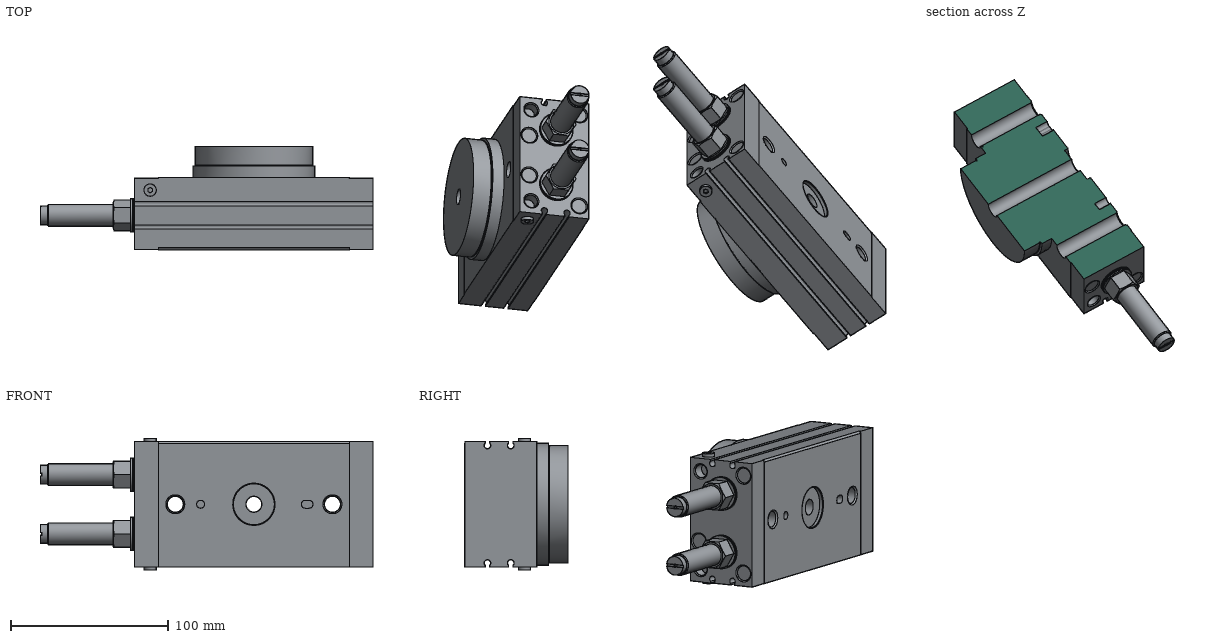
import cadquery as cq
import math


overall_length = 212.0
housing_length = 152.0
housing_height = 80.0
plate_length = 15.3
plate_depth = 45.5
block_proud_front = 0.2
block_proud_back = 0.5
block_chamfer_y = 1.5
block_chamfer_z = 1.3
block_length = housing_length - 2 * plate_length
block_depth = plate_depth + block_proud_front + block_proud_back
block_front = -block_proud_front
block_back = block_front + block_depth
center_x = housing_length / 2
half_height = housing_height / 2

groove_positions_y = (14.5, 29.3)
groove_diameter = 4.0
groove_mouth = 2.8
groove_center_depth = 2.5

overall_depth = 66.0
flange_diameter = 77.8
flange_thickness = 7.5
gap_diameter = 74.2
gap_width = 0.6
table_diameter = 75.0
table_thickness = overall_depth - block_depth - flange_thickness - gap_width

bore_diameter = 10.0
recess_diameter = 26.0
recess_mouth_diameter = 27.0
recess_depth = 2.5
bolt_offset = 50.0
bolt_diameter = 10.2
bolt_mouth_diameter = 12.0
dowel_offset = 34.0
dowel_diameter = 5.0
dowel_slot_length = 7.5
dowel_depth = 8.5

hole_offset_z = 31.5
port_y = 38.0
port_diameter = 8.5
port_mouth_diameter = 10.0
port_depth = 8.5
plug_diameter = 9.5
plug_mouth_diameter = 11.0
inner_plug_y = 39.2
inner_plug_z = 13.8
outer_plug_y = 6.4

absorber_y = 21.8
absorber_z = 18.9
absorber_length = overall_length - housing_length
washer_diameter = 21.5
outer_washer_thickness = 1.3
inner_washer_thickness = 0.6
washer_gap_diameter = 20.4
washer_gap = 0.6
nut_width = 17.2
nut_face_diameter = 16.3
nut_bevel_angle = 20.0
nut_length = 11.0
barrel_diameter = 14.0
barrel_chamfer = 0.6
tip_diameter = 12.0
tip_length = 4.7
tip_slot_width = 1.5
tip_slot_depth = 0.8
tip_hole_diameter = 2.0
tip_hole_depth = 1.7

overall_height = 84.0
screw_x = 10.0
screw_y = 38.0
screw_diameter = 7.8
screw_height = (overall_height - housing_height) / 2
socket_corner_diameter = 3.4
socket_depth = 1.3


def y_rod(x, z, start, length, diameter):
    """Cylinder along +Y that starts at Y = start."""
    return cq.Workplane("XZ", origin=(x, start, z)).circle(diameter / 2).extrude(-length)


def x_rod(start, y, z, length, diameter):
    """Cylinder along +X that starts at X = start."""
    return cq.Workplane("YZ", origin=(start, y, z)).circle(diameter / 2).extrude(length)


def cone(point, direction, mouth_diameter, end_diameter):
    """45-degree countersink that narrows from its mouth at point."""
    depth = (mouth_diameter - end_diameter) / 2
    return cq.Workplane(cq.Solid.makeCone(
        mouth_diameter / 2, end_diameter / 2, depth, cq.Vector(*point), cq.Vector(*direction)))


def make_housing():
    plates = cq.Workplane("XY").box(housing_length, plate_depth, housing_height)
    plates = plates.translate((center_x, plate_depth / 2, 0))
    block = (
        cq.Workplane("YZ", origin=(plate_length, 0, 0))
        .moveTo(block_front, -half_height)
        .lineTo(block_back, -half_height)
        .lineTo(block_back, half_height)
        .lineTo(block_front + block_chamfer_y, half_height)
        .lineTo(block_front, half_height - block_chamfer_z)
        .close()
        .extrude(block_length)
    )
    between_plates = cq.Workplane("XY").box(block_length, block_depth, housing_height)
    between_plates = between_plates.translate((center_x, plate_depth / 2, 0))
    return plates.cut(between_plates).union(block)


def make_turntable():
    gap_start = block_back + flange_thickness
    table_start = gap_start + gap_width
    flange = y_rod(center_x, 0, block_back, flange_thickness, flange_diameter)
    gap = y_rod(center_x, 0, gap_start, gap_width, gap_diameter)
    table = y_rod(center_x, 0, table_start, table_thickness, table_diameter)
    return flange.union(gap).union(table)


def cut_grooves(body):
    for side in (-1, 1):
        groove_z = side * (half_height - groove_center_depth)
        for y in groove_positions_y:
            mouth = cq.Workplane("XY").box(housing_length, groove_mouth, groove_center_depth)
            mouth = mouth.translate((center_x, y, groove_z + side * groove_center_depth / 2))
            body = body.cut(mouth).cut(x_rod(0, y, groove_z, housing_length, groove_diameter))
    return body


def cut_mounting_face(body):
    body = body.cut(y_rod(center_x, 0, block_front, overall_depth, bore_diameter))
    body = body.cut(y_rod(center_x, 0, block_front, recess_depth, recess_diameter))
    body = body.cut(cone((center_x, block_front, 0), (0, 1, 0), recess_mouth_diameter, recess_diameter))
    for side in (-1, 1):
        x = center_x + side * bolt_offset
        body = body.cut(y_rod(x, 0, block_front, block_depth, bolt_diameter))
        body = body.cut(cone((x, block_front, 0), (0, 1, 0), bolt_mouth_diameter, bolt_diameter))
    body = body.cut(y_rod(center_x - dowel_offset, 0, block_front, dowel_depth, dowel_diameter))
    dowel_slot = (
        cq.Workplane("XZ", origin=(center_x + dowel_offset, block_front, 0))
        .slot2D(dowel_slot_length, dowel_diameter)
        .extrude(-dowel_depth)
    )
    return body.cut(dowel_slot)


def cut_end_plate(body):
    for side in (-1, 1):
        port_z = side * hole_offset_z
        body = body.cut(x_rod(0, port_y, port_z, port_depth, port_diameter))
        body = body.cut(cone((0, port_y, port_z), (1, 0, 0), port_mouth_diameter, port_diameter))
        for y, z in ((inner_plug_y, inner_plug_z), (outer_plug_y, hole_offset_z)):
            body = body.cut(cone((0, y, side * z), (1, 0, 0), plug_mouth_diameter, plug_diameter))
    return body


def make_nut(start, z):
    """Hexagon nut with flats facing +Z and -Z and its outer corners bevelled by a cone."""
    corner_diameter = nut_width / math.cos(math.pi / 6)
    nut = (
        cq.Workplane("YZ", origin=(start, absorber_y, z))
        .polygon(6, corner_diameter)
        .extrude(nut_length)
    )
    face_radius = nut_face_diameter / 2
    end_radius = face_radius + nut_length / math.tan(math.radians(nut_bevel_angle))
    bevel_cone = cq.Solid.makeCone(
        face_radius, end_radius, nut_length, cq.Vector(start, absorber_y, z), cq.Vector(1, 0, 0))
    return nut.intersect(cq.Workplane(bevel_cone))


def make_absorber(z):
    """Shock absorber with nut and washers, pointing in -X from the end plate."""
    y = absorber_y
    tip_x = -absorber_length
    washers_length = outer_washer_thickness + washer_gap + inner_washer_thickness
    nut_x = -washers_length - nut_length

    tip = x_rod(tip_x, y, z, tip_length, tip_diameter)
    slot = cq.Workplane("XY").box(2 * tip_slot_depth, tip_diameter, tip_slot_width)
    tip = tip.cut(slot.translate((tip_x, y, z)))
    tip = tip.cut(x_rod(tip_x, y, z, tip_hole_depth, tip_hole_diameter))

    barrel = x_rod(tip_x + tip_length, y, z, absorber_length - tip_length, barrel_diameter)
    barrel = barrel.faces("<X").chamfer(barrel_chamfer)

    washers = x_rod(-washers_length, y, z, washers_length, washer_gap_diameter)
    washers = washers.union(x_rod(-washers_length, y, z, outer_washer_thickness, washer_diameter))
    washers = washers.union(x_rod(-inner_washer_thickness, y, z, inner_washer_thickness, washer_diameter))
    return tip.union(barrel).union(make_nut(nut_x, z)).union(washers)


def make_screw():
    """Low round screw head with a hexagon socket on the upper side."""
    head = (
        cq.Workplane("XY", origin=(screw_x, screw_y, half_height))
        .circle(screw_diameter / 2)
        .extrude(screw_height)
    )
    socket = (
        cq.Workplane("XY", origin=(screw_x, screw_y, half_height + screw_height))
        .transformed(rotate=(0, 0, 90))
        .polygon(6, socket_corner_diameter)
        .extrude(-socket_depth)
    )
    return head.cut(socket)


result = make_housing().union(make_turntable())
result = cut_grooves(result)
result = cut_mounting_face(result)
result = cut_end_plate(result)
for absorber_side in (-1, 1):
    result = result.union(make_absorber(absorber_side * absorber_z))
screw = make_screw()
result = result.union(screw).union(screw.mirror("XY"))